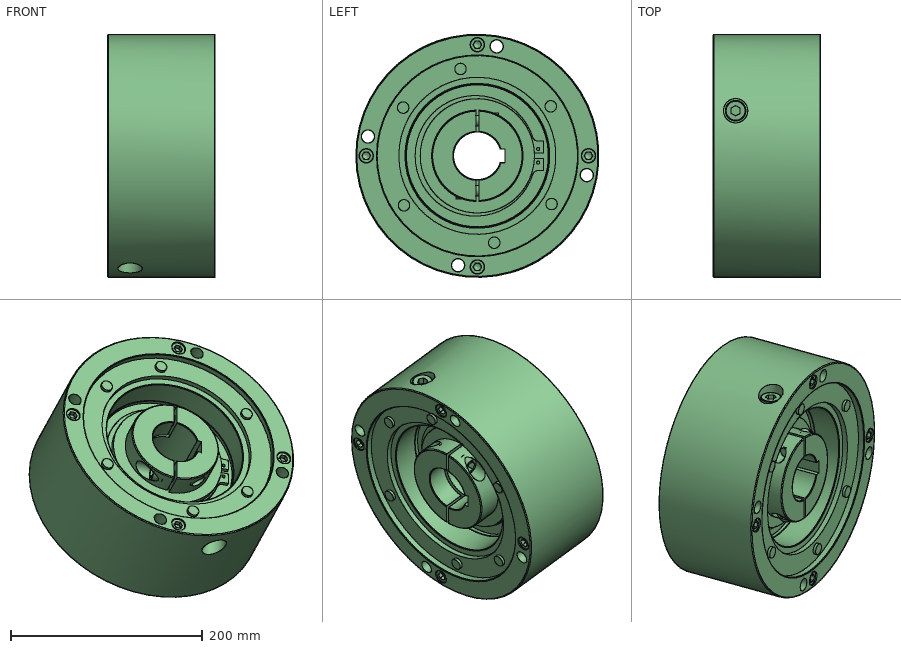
import cadquery as cq
import math

outer_radius = 127.0
width = 112.3
outer_chamfer = 1.0
recess_radius = 104.6
recess_depth = 7.0
recess_chamfer = 0.8
step_radius = 82.0
step_depth = 12.7
well_radius = 75.0
well_chamfer = 0.8
ledge_depth = 41.7
ledge_radius = 74.2
floor_depth = 45.5

rim_circle_radius = 116.0
rim_count = 4
rim_pitch = 360 / rim_count
through_hole_diameter = 13.5
through_hole_offset = 10.0
rim_head_diameter = 14.2
rim_counterbore_diameter = 15.0
rim_counterbore_depth = 9.5
rim_head_recess = 1.3
rim_hex_flats = 8.0
rim_hex_depth = 4.8
rim_hex_cone_depth = 1.5

pin_diameter = 12.0
pin_circle_radius = 92.5
pin_height = 3.0
pin_start_angle = -11.0
pin_pitch = 67.0
pins_per_half = 3

pocket_x = 23.5
pocket_y = 47.2
pocket_diameter = 25.5
pocket_floor_z = 86.4
plug_diameter = 21.3
plug_chamfer = 0.8
plug_top_z = 113.8
plug_hex_flats = 9.5
plug_hex_depth = 7.5

bore_radius = 25.0
bore_chamfer = 0.8
key_width = 14.2
key_reach = 28.7
collar_radius = 47.8
collar_front = 10.2
collar_chamfer = 1.0
cap_length = 22.9
slit_width = 3.0
shoulder_radius = 59.7
shoulder_front = 36.0

clamp_x = 22.0
clamp_z = 36.5
clamp_shank_diameter = 11.2
clamp_head_diameter = 16.8
clamp_head_length = 11.2
clamp_counterbore_diameter = 17.5
clamp_seat = 11.0
clamp_reach = 20.3
clamp_hex_flats = 11.2
clamp_hex_depth = 7.5

ring_thickness = 3.8
ring_front = floor_depth - ring_thickness
ring_groove_depth = 2.0
ring_inner_radius = shoulder_radius - ring_groove_depth
ring_radius = 63.0
ring_offset = 2.0
lug_reach = 68.8
lug_half_height = 15.2
lug_gap = 5.5
lug_fillet = 6.4
lug_fillet_zone = 50.8
lug_hole_diameter = 3.3
lug_hole_reach = 63.5
lug_hole_z = 7.0


def hexagon_diameter(flats):
    """Corner diameter of a hexagon from its width across flats."""
    return flats / math.cos(math.radians(30))


def x_cylinder(radius, start, end, y=0.0, z=0.0):
    """Cylinder along X from start to end."""
    return cq.Workplane("YZ", origin=(start, y, z)).circle(radius).extrude(end - start)


def clamp_cylinder(diameter, start, end):
    """Cylinder on the clamp screw axis, from y = start to a larger y = end."""
    return (
        cq.Workplane("XZ", origin=(clamp_x, end, clamp_z))
        .circle(diameter / 2)
        .extrude(end - start)
    )


def turned(points):
    """Solid of revolution about X from (x, radius) points."""
    return cq.Workplane("XY").polyline(points).close().revolve(360, (0, 0, 0), (1, 0, 0))


def half_turn(shape):
    """Copy of a shape turned by 180 degrees about X."""
    return shape.rotate((0, 0, 0), (1, 0, 0), 180)


def polar(radius, angle):
    """(y, z) at an angle measured from +Z towards -Y."""
    turn = math.radians(angle)
    return -radius * math.sin(turn), radius * math.cos(turn)


def rim_screw_gap(angle):
    """Space round and above one rim screw head, with its hexagon socket."""
    y, z = polar(rim_circle_radius, angle)
    head = x_cylinder(rim_head_diameter / 2, rim_head_recess, rim_counterbore_depth, y, z)
    gap = x_cylinder(rim_counterbore_diameter / 2, 0, rim_counterbore_depth, y, z).cut(head)
    socket_end = rim_head_recess + rim_hex_depth
    socket = (
        cq.Workplane("YZ", origin=(rim_head_recess, y, z))
        .polygon(6, hexagon_diameter(rim_hex_flats))
        .extrude(rim_hex_depth)
    )
    cone = cq.Solid.makeCone(
        rim_hex_flats / 2, 0, rim_hex_cone_depth, cq.Vector(socket_end, y, z), cq.Vector(1, 0, 0)
    )
    return gap.union(socket).union(cq.Workplane(cone))


def make_housing():
    """Outer drum with its stepped well, rim holes, pins and tangential pockets."""
    body = turned([
        (0, recess_radius + recess_chamfer),
        (0, outer_radius - outer_chamfer),
        (outer_chamfer, outer_radius),
        (width, outer_radius),
        (width, shoulder_radius),
        (floor_depth, shoulder_radius),
        (floor_depth, ledge_radius),
        (ledge_depth, ledge_radius),
        (ledge_depth, well_radius),
        (step_depth + well_chamfer, well_radius),
        (step_depth, well_radius + well_chamfer),
        (step_depth, step_radius),
        (recess_depth, step_radius),
        (recess_depth, recess_radius),
        (recess_chamfer, recess_radius),
    ])
    for i in range(rim_count):
        angle = i * rim_pitch
        y, z = polar(rim_circle_radius, angle + through_hole_offset)
        body = body.cut(x_cylinder(through_hole_diameter / 2, 0, width, y, z))
        body = body.cut(rim_screw_gap(angle))
    for i in range(pins_per_half):
        y, z = polar(pin_circle_radius, pin_start_angle + i * pin_pitch)
        pin = x_cylinder(pin_diameter / 2, recess_depth - pin_height, recess_depth, y, z)
        body = body.union(pin).union(half_turn(pin))
    pocket = (
        cq.Workplane("XY", origin=(pocket_x, pocket_y, pocket_floor_z))
        .circle(pocket_diameter / 2)
        .extrude(outer_radius - pocket_floor_z)
    )
    return body.cut(pocket).cut(half_turn(pocket))


def make_plug():
    """Socket screw that stands in the upper tangential pocket."""
    plug = (
        cq.Workplane("XY", origin=(pocket_x, pocket_y, pocket_floor_z))
        .circle(plug_diameter / 2)
        .extrude(plug_top_z - pocket_floor_z)
        .faces(">Z")
        .chamfer(plug_chamfer)
    )
    socket = (
        cq.Workplane("XY", origin=(pocket_x, pocket_y, plug_top_z - plug_hex_depth))
        .polygon(6, hexagon_diameter(plug_hex_flats))
        .extrude(plug_hex_depth)
        .rotate((pocket_x, pocket_y, 0), (pocket_x, pocket_y, 1), 30)
    )
    return plug.cut(socket)


def make_clamp_screw():
    """Socket head screw with its head on the -Y side."""
    head_face = -clamp_seat - clamp_head_length
    screw = clamp_cylinder(clamp_head_diameter, head_face, -clamp_seat)
    screw = screw.union(clamp_cylinder(clamp_shank_diameter, -clamp_seat, clamp_reach))
    socket = (
        cq.Workplane("XZ", origin=(clamp_x, head_face + clamp_hex_depth, clamp_z))
        .polygon(6, hexagon_diameter(clamp_hex_flats))
        .extrude(clamp_hex_depth)
    )
    return screw.cut(socket)


def cut_clamp_holes(body):
    """Cut both counterbored clamp screw holes, whose heads face opposite ways."""
    hole = clamp_cylinder(clamp_counterbore_diameter, -collar_radius, -clamp_seat)
    hole = hole.union(clamp_cylinder(clamp_shank_diameter, -clamp_seat, collar_radius))
    return body.cut(hole).cut(half_turn(hole))


def make_retaining_ring():
    """Tapered ring with two eyed lugs on the -Y side."""
    plane = cq.Workplane("YZ", origin=(ring_front, 0, 0))
    ring = plane.center(ring_offset, 0).circle(ring_radius).extrude(ring_thickness)
    lugs = cq.Workplane("XY", origin=(ring_front, -lug_reach, 0)).box(
        ring_thickness, lug_reach, 2 * lug_half_height, centered=(False, False, True)
    )
    corner_zone = cq.selectors.BoxSelector(
        (0, -lug_reach + lug_hole_diameter / 2, -outer_radius),
        (width, -lug_fillet_zone, outer_radius),
    )
    ring = ring.union(lugs).edges("|X").edges(corner_zone).fillet(lug_fillet)
    ring = ring.cut(x_cylinder(ring_inner_radius, ring_front, floor_depth))
    gap = cq.Workplane("XY", origin=(0, -outer_radius, 0)).box(
        width, outer_radius, lug_gap, centered=(False, False, True)
    )
    ring = ring.cut(gap)
    for z in (-lug_hole_z, lug_hole_z):
        eye = x_cylinder(lug_hole_diameter / 2, ring_front, floor_depth, -lug_hole_reach, z)
        ring = ring.cut(eye)
    return ring


def make_hub():
    """Keyed hub with the fixed half of the split collar and the retaining ring."""
    body = turned([
        (collar_front, bore_radius + bore_chamfer),
        (collar_front, collar_radius - collar_chamfer),
        (collar_front + collar_chamfer, collar_radius),
        (shoulder_front, collar_radius),
        (shoulder_front, shoulder_radius),
        (ring_front, shoulder_radius),
        (ring_front, ring_inner_radius),
        (floor_depth, ring_inner_radius),
        (floor_depth, shoulder_radius),
        (width, shoulder_radius),
        (width, bore_radius),
        (collar_front + bore_chamfer, bore_radius),
    ])
    keyway = cq.Workplane("XY", origin=(0, -key_reach, 0)).box(
        width, key_reach, key_width, centered=(False, False, True)
    )
    cap_space = cq.Workplane("XY", origin=(collar_front, -slit_width / 2, 0)).box(
        shoulder_front - collar_front, outer_radius, 2 * outer_radius, centered=(False, False, True)
    )
    body = cut_clamp_holes(body.cut(keyway).cut(cap_space))
    return body.union(make_retaining_ring())


def make_cap():
    """Loose +Y half of the split collar."""
    collar_back = collar_front + cap_length
    collar = turned([
        (collar_front, bore_radius + bore_chamfer),
        (collar_front, collar_radius - collar_chamfer),
        (collar_front + collar_chamfer, collar_radius),
        (collar_back, collar_radius),
        (collar_back, bore_radius),
        (collar_front + bore_chamfer, bore_radius),
    ])
    half_space = cq.Workplane("XY", origin=(0, slit_width / 2, 0)).box(
        width, outer_radius, 2 * outer_radius, centered=(False, False, True)
    )
    return cut_clamp_holes(collar.intersect(half_space))


housing = make_housing()
hub = make_hub()
cap = make_cap()
plug = make_plug()
clamp_screw = make_clamp_screw()
clamp_screws = [clamp_screw, half_turn(clamp_screw)]

result = cq.Compound.makeCompound([
    housing.val(),
    hub.val(),
    cap.val(),
    plug.val(),
    *[screw.val() for screw in clamp_screws],
])